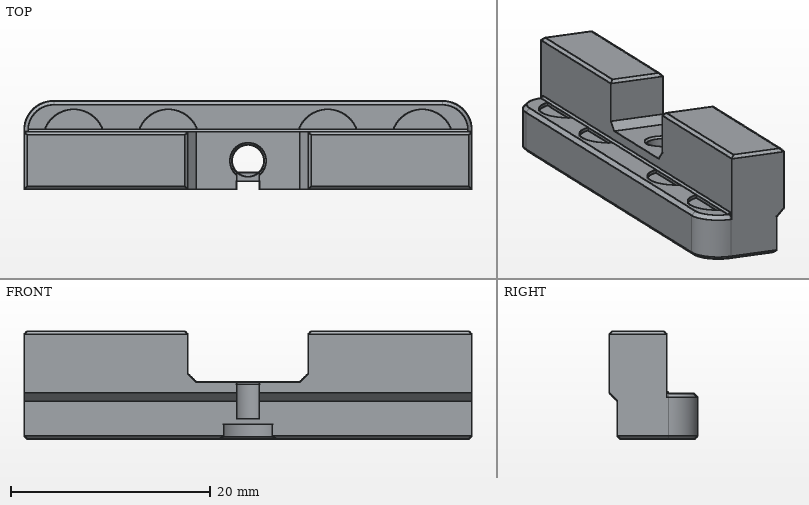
import cadquery as cq

length = 45.0
depth = 8.9
height = 10.85
mid_x = length / 2
edge_chamfer = 0.3

body_rear = 5.8
overhang = 0.8
undercut_top = 4.65
undercut_bottom = undercut_top - overhang

ledge_height = 4.6
ledge_chamfer = 0.4
corner_radius = 2.95

foot_reach = 0.22

recess_diameter = 6.2
recess_depth = 0.3
recess_y = 4.95
recess_offsets = (8.0, 17.5)

notch_width = 12.05
notch_floor = 5.75
notch_corner = 0.8

hole_diameter = 3.2
rim_chamfer = 0.22
hole_y = 2.9
slot_width = 2.3
head_diameter = 6.4
head_depth = 1.5
bridge_top = 2.02
bridge_width = 0.9
bridge_step = 0.15


def box(x_size, y_range, z_range):
    """Box centred on the middle of the length."""
    (y_min, y_max), (z_min, z_max) = y_range, z_range
    corner = (mid_x - x_size / 2, y_min, z_min)
    return cq.Workplane("XY").box(x_size, y_max - y_min, z_max - z_min, centered=False).translate(corner)


def cylinder(diameter, x, y, z_min, z_max):
    """Upright cylinder between two heights."""
    return cq.Workplane("XY", origin=(x, y, z_min)).circle(diameter / 2).extrude(z_max - z_min)


def make_base():
    """Lower slab with rounded rear corners and chamfered rims."""
    slab = box(length, (overhang, depth), (0, ledge_height))
    slab = slab.edges("|Z and >Y").fillet(corner_radius)
    slab = slab.faces("<Z").edges().chamfer(edge_chamfer)
    return slab.faces(">Z").edges("not <Y").chamfer(ledge_chamfer)


def make_recesses():
    """Round recesses sunk into the top of the ledge."""
    recesses = cq.Workplane("XY")
    for offset in recess_offsets:
        for x in (mid_x - offset, mid_x + offset):
            recesses = recesses.union(
                cylinder(recess_diameter, x, recess_y, ledge_height - recess_depth, ledge_height)
            )
    return recesses


def make_notch():
    """Through notch with bevelled lower corners."""
    half = notch_width / 2
    return (
        cq.Workplane("XZ")
        .polyline([
            (mid_x - half, height),
            (mid_x - half, notch_floor + notch_corner),
            (mid_x - half + notch_corner, notch_floor),
            (mid_x + half - notch_corner, notch_floor),
            (mid_x + half, notch_floor + notch_corner),
            (mid_x + half, height),
        ])
        .close()
        .extrude(-depth)
    )


def make_body():
    """Upper body with the front overhang, split on top by the notch."""
    profile = [
        (0, height),
        (0, undercut_top),
        (overhang, undercut_bottom),
        (overhang, edge_chamfer),
        (body_rear, edge_chamfer),
        (body_rear, height),
    ]
    body = cq.Workplane("YZ").polyline(profile).close().extrude(length)
    body = body.cut(make_notch())
    return body.faces(">Z").edges().chamfer(edge_chamfer)


def make_foot():
    """Slope of 45 degrees from the rear wall to the ledge, upright below inside the recesses."""
    foot_bottom = ledge_height - recess_depth
    profile = [
        (body_rear, ledge_height + foot_reach),
        (body_rear, foot_bottom),
        (body_rear + foot_reach, foot_bottom),
        (body_rear + foot_reach, ledge_height),
    ]
    foot = cq.Workplane("YZ").polyline(profile).close().extrude(length - 2 * ledge_chamfer)
    return foot.translate((ledge_chamfer, 0, 0))


def rim_cone(diameter, rim_z, inward):
    """Cone that breaks a round edge at rim_z; inward is +1 or -1 along Z, into the material."""
    radius = diameter / 2
    cone = cq.Solid.makeCone(
        radius + rim_chamfer,
        radius,
        rim_chamfer,
        pnt=cq.Vector(mid_x, hole_y, rim_z),
        dir=cq.Vector(0, 0, inward),
    )
    return cq.Workplane(cone)


def cut_screw_seat(part):
    """Screw hole, open to the front through a slot, above a head pocket closed off by a bridge."""
    head_pocket = cylinder(head_diameter, mid_x, hole_y, 0, head_depth)
    slot = box(slot_width, (0, hole_y), (bridge_top, notch_floor))
    bridge = box(slot_width, (overhang, overhang + bridge_width), (head_depth, bridge_top))
    hole = cylinder(hole_diameter, mid_x, hole_y, 0, notch_floor)
    bridge_relief = cylinder(hole_diameter, mid_x, hole_y, bridge_top - bridge_step, bridge_top)
    part = part.cut(head_pocket).cut(slot).cut(hole)
    part = part.cut(rim_cone(hole_diameter, notch_floor, -1))
    part = part.cut(rim_cone(head_diameter, 0, 1))
    return part.union(bridge.cut(bridge_relief))


base = make_base().cut(make_recesses())
result = cut_screw_seat(base.union(make_body()).union(make_foot()))